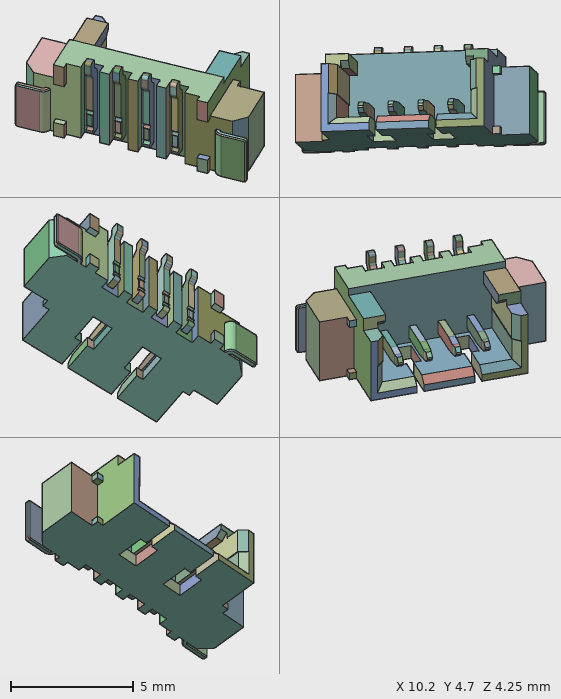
import cadquery as cq
import math


body_half_width = 3.39
body_front_y = 0.29
body_back_y = 4.7
block_back_y = 1.83
block_height = 3.71
wall_height = 2.82
wall_thickness = 0.62
floor_thickness = 0.62
mouth_chamfer = 0.3

lip_top_z = 3.39
lip_width = 0.95
lip_end_y = 3.76
lip_chamfer = 0.28

cavity_relief_top_z = 1.6
cavity_relief_depth = 0.03

pitch = 1.25
contact_count = 4
contact_width = 0.29
contact_top_z = 4.25
contact_bottom_z = 0.39
slot_width = 0.82
slot_floor_y = 0.71
tail_thickness = 0.4
tail_tip_radius = 0.14
tail_bend_radius = 0.16
shoulder_radius = 0.38
tail_bend_z = 3.62
strip_y = 0.19
bottom_radius = 0.13
groove_radius = 0.11

pin_bottom_z = 0.81
pin_height = 0.6
pin_top_z = pin_bottom_z + pin_height
pin_taper_y = 3.17
pin_narrow_y = 3.66
pin_bevel_y = 3.88
pin_tip_y = 4.05
pin_taper_drop = 0.08
pin_tip_width = 0.22
barb_y = 0.22
barb_chamfer = 0.04

window_front_y = 2.08
window_back_y = 3.35
latch_slot_width = 0.3

wing_half_width = 4.89
wing_back_y = 2.55
wing_chamfer = 0.52
tab_size = 0.31
foot_width = 0.47
foot_front_y = 0.03
lower_foot_height = 0.69
upper_foot_bottom_z = 2.69

nail_half_span = 5.08
nail_height = 2.21
nail_thickness = 0.24
nail_bend_radius = 0.37
nail_leg_outer_x = 3.62
nail_leg_end_y = 1.02
nail_corner_radius = 0.12
nail_edge_chamfer = 0.05

contact_xs = [(i - (contact_count - 1) / 2) * pitch for i in range(contact_count)]


def box(x_range, y_range, z_range):
    """Axis-aligned box between two limits on each axis."""
    limits = (x_range, y_range, z_range)
    size = [high - low for low, high in limits]
    corner = [low for low, high in limits]
    return cq.Workplane("XY").box(*size, centered=False).translate(tuple(corner))


def extrude_along_x(points, x_center, width):
    """Closed Y-Z outline extruded symmetrically about x_center."""
    plane = cq.Workplane("YZ", origin=(x_center - width / 2, 0, 0))
    return plane.polyline(points).close().extrude(width)


def both_sides(half):
    """A feature on the +X side together with its mirror image."""
    return half.union(half.mirror("YZ"))


def make_cavity():
    """Open-topped mating cavity with a bevelled mouth on the floor and side walls."""
    mouth_y = body_back_y - mouth_chamfer
    floor_profile = [
        (block_back_y, floor_thickness),
        (mouth_y, floor_thickness),
        (body_back_y, floor_thickness - mouth_chamfer),
        (body_back_y, block_height),
        (block_back_y, block_height),
    ]
    depth_cut = extrude_along_x(floor_profile, 0, 2 * body_half_width)

    def plan_cut(half_width, top_z):
        mouth_half = half_width + mouth_chamfer
        outline = [
            (-half_width, block_back_y),
            (half_width, block_back_y),
            (half_width, mouth_y),
            (mouth_half, body_back_y),
            (-mouth_half, body_back_y),
            (-half_width, mouth_y),
        ]
        return cq.Workplane("XY").polyline(outline).close().extrude(top_z)

    inner_half = body_half_width - wall_thickness
    width_cut = plan_cut(inner_half, block_height)
    width_cut = width_cut.union(plan_cut(inner_half + cavity_relief_depth, cavity_relief_top_z))
    return depth_cut.intersect(width_cut)


def make_lips():
    """Side lips that overhang the cavity, bevelled underneath at the mouth end."""
    profile = [
        (block_back_y, wall_height),
        (lip_end_y - lip_chamfer, wall_height),
        (lip_end_y, wall_height + lip_chamfer),
        (lip_end_y, lip_top_z),
        (block_back_y, lip_top_z),
    ]
    inner_part = extrude_along_x(profile, body_half_width - lip_width / 2, lip_width)
    over_wall = box(
        (body_half_width - wall_thickness, body_half_width),
        (block_back_y, lip_end_y),
        (wall_height, lip_top_z),
    )
    return both_sides(inner_part.union(over_wall))


def make_wings():
    """Side wings with a bevelled front corner and two small tabs at the back."""
    outline = [
        (body_half_width, body_front_y),
        (wing_half_width - wing_chamfer, body_front_y),
        (wing_half_width, body_front_y + wing_chamfer),
        (wing_half_width, wing_back_y),
        (body_half_width, wing_back_y),
    ]
    wing = cq.Workplane("XY").polyline(outline).close().extrude(wall_height)
    for tab_bottom in (0, wall_height - tab_size):
        wing = wing.union(box(
            (body_half_width, body_half_width + tab_size),
            (wing_back_y, wing_back_y + tab_size),
            (tab_bottom, tab_bottom + tab_size),
        ))
    return both_sides(wing)


def make_feet():
    """Stand-off feet on the front face, top and bottom at each end of the block."""
    foot_x = (body_half_width - foot_width, body_half_width)
    foot_y = (foot_front_y, body_front_y)
    lower = box(foot_x, foot_y, (0, lower_foot_height))
    upper = box(foot_x, foot_y, (upper_foot_bottom_z, block_height))
    return both_sides(lower.union(upper))


def make_floor_openings():
    """Two T-shaped openings through the floor, each open to the mouth."""
    window_width = pitch - contact_width
    window = box(
        (pitch - window_width / 2, pitch + window_width / 2),
        (window_front_y, window_back_y),
        (0, floor_thickness),
    )
    latch_slot = box(
        (pitch - latch_slot_width / 2, pitch + latch_slot_width / 2),
        (window_back_y, body_back_y),
        (0, floor_thickness),
    )
    return both_sides(window.union(latch_slot))


def make_housing():
    """Insulating housing with a contact slot in the front face for every contact."""
    housing = box(
        (-body_half_width, body_half_width), (body_front_y, body_back_y), (0, wall_height)
    )
    housing = housing.union(box(
        (-body_half_width, body_half_width), (body_front_y, block_back_y), (0, block_height)
    ))
    housing = housing.cut(make_cavity()).cut(make_floor_openings())
    housing = housing.union(make_lips()).union(make_wings()).union(make_feet())
    for x in contact_xs:
        housing = housing.cut(box(
            (x - slot_width / 2, x + slot_width / 2), (body_front_y, slot_floor_y), (0, block_height)
        ))
    return housing


def make_tail(x):
    """Upright strip standing on the slot floor, with an S-bend below the rounded solder tail."""
    front_bend_end_z = tail_bend_z - strip_y
    rear_bend_z = tail_bend_z + tail_thickness * math.tan(math.pi / 8)
    rear_bend_end_z = rear_bend_z - (slot_floor_y - tail_thickness)
    corners = [
        (strip_y, contact_bottom_z, bottom_radius),
        (strip_y, front_bend_end_z, tail_bend_radius),
        (0, tail_bend_z, tail_bend_radius),
        (0, contact_top_z, tail_tip_radius),
        (tail_thickness, contact_top_z, tail_tip_radius),
        (tail_thickness, rear_bend_z, tail_bend_radius),
        (slot_floor_y, rear_bend_end_z, shoulder_radius),
    ]
    outline = [(y, z) for y, z, radius in corners]
    outline.append((slot_floor_y, contact_bottom_z))
    tail = extrude_along_x(outline, x, contact_width)
    for y, z, radius in corners:
        tail = tail.edges(cq.NearestToPointSelector((x, y, z))).fillet(radius)
    return tail


def make_barb_cut(x):
    """Removes the strip in front of the barb and a round groove above and below it."""
    cut = box(
        (x - contact_width / 2, x + contact_width / 2), (0, barb_y), (pin_bottom_z, pin_top_z)
    )
    for groove_z in (pin_bottom_z - groove_radius, pin_top_z + groove_radius):
        groove = (
            cq.Workplane("YZ", origin=(x - contact_width / 2, 0, 0))
            .center(strip_y, groove_z)
            .circle(groove_radius)
            .extrude(contact_width)
        )
        cut = cut.union(groove)
    return cut


def make_barb_bevels(x):
    """Small bevels along the two upright edges of the barb face."""
    bevels = None
    for side in (-1, 1):
        edge_x = x + side * contact_width / 2
        bevel = (
            cq.Workplane("XY", origin=(0, 0, pin_bottom_z))
            .moveTo(edge_x, barb_y)
            .lineTo(edge_x - side * barb_chamfer, barb_y)
            .lineTo(edge_x, barb_y + barb_chamfer)
            .close()
            .extrude(pin_height)
        )
        bevels = bevel if bevels is None else bevels.union(bevel)
    return bevels


def make_pin(x):
    """Mating pin in the cavity, tapered in height and width towards its bevelled tip."""
    tip_bevel = pin_tip_y - pin_bevel_y
    low = pin_bottom_z + pin_taper_drop
    high = pin_top_z - pin_taper_drop
    side_profile = [
        (slot_floor_y, pin_bottom_z),
        (pin_taper_y, pin_bottom_z),
        (pin_narrow_y, low),
        (pin_bevel_y, low),
        (pin_tip_y, low + tip_bevel),
        (pin_tip_y, high - tip_bevel),
        (pin_bevel_y, high),
        (pin_narrow_y, high),
        (pin_taper_y, pin_top_z),
        (slot_floor_y, pin_top_z),
    ]
    half = contact_width / 2
    tip_half = pin_tip_width / 2
    plan = [
        (x - half, slot_floor_y),
        (x + half, slot_floor_y),
        (x + half, pin_narrow_y),
        (x + tip_half, pin_bevel_y),
        (x + tip_half, pin_tip_y),
        (x - tip_half, pin_tip_y),
        (x - tip_half, pin_bevel_y),
        (x - half, pin_narrow_y),
    ]
    side = extrude_along_x(side_profile, x, contact_width)
    return side.intersect(cq.Workplane("XY").polyline(plan).close().extrude(block_height))


def make_contact(x):
    """Complete contact: solder tail, barbed strip and mating pin."""
    blade = make_tail(x).union(make_pin(x))
    return blade.cut(make_barb_cut(x)).cut(make_barb_bevels(x))


def make_nails():
    """Bent solder nails: a flat solder plate with a leg anchored in the housing."""
    bend_x = nail_leg_outer_x + nail_bend_radius
    inner_radius = nail_bend_radius - nail_thickness
    outer_mid = nail_bend_radius * math.sqrt(0.5)
    inner_mid = inner_radius * math.sqrt(0.5)
    leg_inner_x = nail_leg_outer_x + nail_thickness
    outer_arc_mid = (bend_x - outer_mid, nail_bend_radius - outer_mid)
    inner_arc_mid = (bend_x - inner_mid, nail_bend_radius - inner_mid)
    nail = (
        cq.Workplane("XY")
        .moveTo(nail_half_span, 0)
        .lineTo(bend_x, 0)
        .threePointArc(outer_arc_mid, (nail_leg_outer_x, nail_bend_radius))
        .lineTo(nail_leg_outer_x, nail_leg_end_y)
        .lineTo(leg_inner_x, nail_leg_end_y)
        .lineTo(leg_inner_x, nail_bend_radius)
        .threePointArc(inner_arc_mid, (bend_x, nail_thickness))
        .lineTo(nail_half_span, nail_thickness)
        .close()
        .extrude(nail_height)
    )
    nail = nail.faces(">X").edges("|Y").fillet(nail_corner_radius)
    margin = nail_edge_chamfer
    plate_rim = cq.selectors.BoxSelector(
        (bend_x + margin, -margin, -margin),
        (nail_half_span + margin, nail_thickness + margin, nail_height + margin),
    )
    nail = nail.edges("not |Y").edges(plate_rim).chamfer(nail_edge_chamfer)
    return both_sides(nail)


result = make_housing().union(make_nails())
for contact_x in contact_xs:
    result = result.union(make_contact(contact_x))